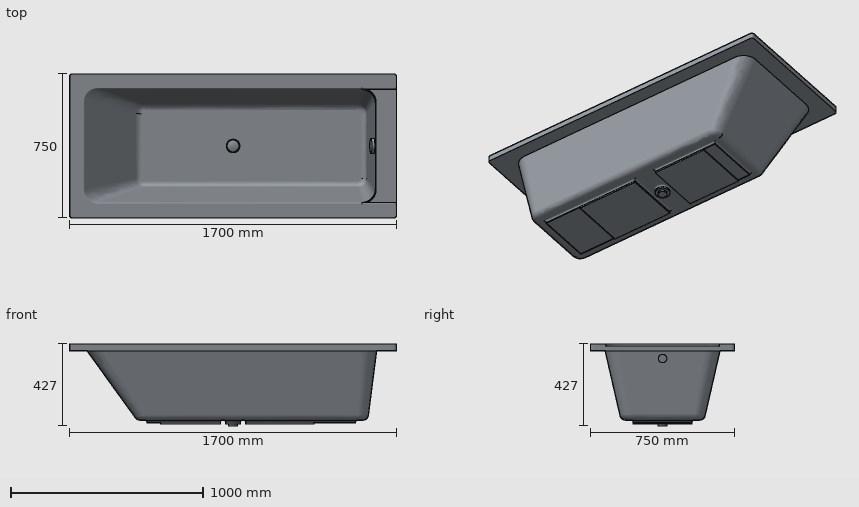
import cadquery as cq
import math

length = 1700.0
width = 750.0
rim_height = 37.0
rim_corner_radius = 15.0
rim_top_fillet = 5.0

head_wall_x = -773.0
foot_wall_x = 741.0
side_wall_y = 297.0
head_slope = 0.722
foot_slope = 0.128
side_slope = 0.23
shell_thickness = 10.0
shell_bottom_z = -397.0
floor_z = shell_bottom_z + shell_thickness
corner_radius_top = 70.0
corner_radius_floor = 40.0
basin_fillet = 28.0
shell_fillet = 32.0
lip_fillet = 5.0

deck_drop = 12.0
deck_lip_depth = 5.0
deck_lip_flare = 4.0
deck_start_x = foot_wall_x - corner_radius_top

pad_height = 10.0
pad_bottom_z = shell_bottom_z - pad_height
pad_root_fillet = 9.0
pad_half_width = 154.0
pad_inner_x = 65.0
head_pad_x = -448.0
foot_pad_x = 637.0
board_thickness = 10.0
board_bottom_z = pad_bottom_z - board_thickness
board_step = 5.0
head_step_x = -376.0
foot_step_x = 420.0

drain_flange_radius = 39.0
drain_pipe_radius = 24.0
drain_bottom_z = -427.0
drain_rim_radius = 35.0
drain_rim_height = 3.0
drain_cap_radius = 31.0
drain_cap_edge = 2.0
drain_cap_dome = 6.0

overflow_z = -75.0
overflow_radius = 40.0
overflow_stem_radius = 22.0
overflow_cap_edge = 15.0
overflow_cap_dome = 7.0

selection_margin = 1.0


def side_half_width(z):
    """Half the distance between the side walls of the cavity at height z."""
    return side_wall_y + side_slope * z


def basin_section(z, gap):
    """Rounded rectangle at height z of the basin whose walls are moved outward, square to them, by gap."""
    depth = -z
    x_min = head_wall_x + head_slope * depth - gap * math.hypot(1, head_slope)
    x_max = foot_wall_x - foot_slope * depth + gap * math.hypot(1, foot_slope)
    half_width = side_half_width(z) + gap * math.hypot(1, side_slope)
    taper = (corner_radius_floor - corner_radius_top) / -floor_z
    radius = corner_radius_top + taper * depth + gap
    return (
        cq.Sketch()
        .push([((x_min + x_max) / 2, 0)])
        .rect(x_max - x_min, 2 * half_width)
        .reset()
        .vertices()
        .fillet(radius)
    )


def tapered_block(lower, lower_z, upper, upper_z):
    """Straight-sided solid between two horizontal sections."""
    return (
        cq.Workplane("XY", origin=(0, 0, lower_z))
        .placeSketch(lower, upper.moved(cq.Location(cq.Vector(0, 0, upper_z - lower_z))))
        .loft(ruled=True)
    )


def basin_block(bottom_z, gap, bottom_fillet):
    """Tapered basin shape from rim level down, with a rounded bottom edge."""
    block = tapered_block(basin_section(bottom_z, gap), bottom_z, basin_section(0, gap), 0)
    return block.faces("<Z").edges().fillet(bottom_fillet)


def make_rim():
    """Solid rim slab with rounded corners and a rounded top edge."""
    return (
        cq.Workplane("XY", origin=(0, 0, -rim_height))
        .rect(length, width)
        .extrude(rim_height)
        .edges("|Z")
        .fillet(rim_corner_radius)
        .faces(">Z")
        .edges()
        .fillet(rim_top_fillet)
    )


def deck_cut():
    """Channel that lowers the deck out to the foot end, its sides in line with the cavity walls and lip."""
    wall_lean = math.atan(side_slope)
    setback = lip_fillet * math.tan((math.pi / 2 - wall_lean) / 2)
    half_channel = (
        cq.Workplane("YZ", origin=(deck_start_x, 0, 0))
        .lineTo(0, -deck_drop)
        .lineTo(side_half_width(-deck_drop), -deck_drop)
        .lineTo(side_wall_y - setback * math.sin(wall_lean), -setback * math.cos(wall_lean))
        .tangentArcPoint((side_wall_y + setback, 0), relative=False)
        .close()
        .extrude(length / 2 - deck_start_x)
    )
    return half_channel.union(half_channel.mirror("XZ"))


def deck_lip_cut():
    """Bevel on the edge between the lowered deck and the cavity."""
    bevel_bottom_z = -deck_drop - deck_lip_depth
    lower = basin_section(bevel_bottom_z, 0)
    upper = basin_section(-deck_drop, deck_lip_flare)
    bevel = tapered_block(lower, bevel_bottom_z, upper, -deck_drop)
    deck = box_between(deck_start_x, length / 2, side_half_width(-deck_drop), -deck_drop, bevel_bottom_z)
    return bevel.intersect(deck)


def box_between(x_a, x_b, half_width, top_z, bottom_z):
    """Box centred on the XZ plane, spanning the given X and Z ranges."""
    return (
        cq.Workplane("XY", origin=((x_a + x_b) / 2, 0, bottom_z))
        .rect(abs(x_b - x_a), 2 * half_width)
        .extrude(top_z - bottom_z)
    )


def disc(radius, bottom_z, top_z):
    """Upright cylinder on the Z axis."""
    return cq.Workplane("XY", origin=(0, 0, bottom_z)).circle(radius).extrude(top_z - bottom_z)


def domed_cap(radius, edge_height, dome_height):
    """Disc on the XY plane with a shallow spherical top."""
    sphere_radius = (radius ** 2 + dome_height ** 2) / (2 * dome_height)
    half_angle = math.asin(radius / sphere_radius) / 2
    sagitta = sphere_radius * (1 - math.cos(half_angle))
    mid_point = (sphere_radius * math.sin(half_angle), edge_height + dome_height - sagitta)
    return (
        cq.Workplane("XZ")
        .lineTo(radius, 0)
        .lineTo(radius, edge_height)
        .threePointArc(mid_point, (0, edge_height + dome_height))
        .close()
        .revolve(360, (0, 0, 0), (0, 1, 0))
    )


def place_on_foot_wall(shape):
    """Turn a shape's +Z away from the foot wall into the basin and move it there."""
    wall_x = foot_wall_x + foot_slope * overflow_z
    tilt = 90 - math.degrees(math.atan(foot_slope))
    return shape.rotate((0, 0, 0), (0, 1, 0), -tilt).translate((wall_x, 0, overflow_z))


def overflow_stem():
    """Stub that fills the wall behind the overflow cap."""
    return place_on_foot_wall(disc(overflow_stem_radius, -shell_thickness, 0))


def basin_wide_box(z):
    """Selector for whatever is centred near height z within the plan of the basin."""
    return cq.selectors.BoxSelector(
        (head_wall_x - selection_margin, -side_wall_y - selection_margin, z - selection_margin),
        (foot_wall_x + selection_margin, side_wall_y + selection_margin, z + selection_margin),
    )


def add_pads(shell):
    """Add the two raised pads and the drain boss, and round their roots into the basin bottom."""
    padded = shell
    for outer_x, inner_x in ((head_pad_x, -pad_inner_x), (foot_pad_x, pad_inner_x)):
        padded = padded.union(box_between(outer_x, inner_x, pad_half_width, shell_bottom_z, pad_bottom_z))
    padded = padded.union(disc(drain_flange_radius, pad_bottom_z, shell_bottom_z))
    basin_bottom = padded.faces(basin_wide_box(shell_bottom_z)).val()
    root_edges = [edge for wire in basin_bottom.innerWires() for edge in wire.Edges()]
    return padded.newObject(root_edges).fillet(pad_root_fillet)


def make_tub():
    shell = make_rim().union(basin_block(shell_bottom_z, shell_thickness, shell_fillet))
    tub = add_pads(shell).cut(basin_block(floor_z, 0, basin_fillet))
    tub = tub.edges(basin_wide_box(0)).fillet(lip_fillet)
    tub = tub.cut(deck_cut()).cut(deck_lip_cut())
    tub = tub.cut(disc(drain_pipe_radius, pad_bottom_z, floor_z))
    return tub.cut(overflow_stem())


def make_support_board(outer_x, step_x, inner_x):
    """Board over a whole pad, thicker between the step and its inner end."""
    step_z = board_bottom_z + board_step
    thin_layer = box_between(outer_x, inner_x, pad_half_width, pad_bottom_z, step_z)
    thick_layer = box_between(step_x, inner_x, pad_half_width, step_z, board_bottom_z)
    return thin_layer.union(thick_layer)


def make_drain():
    """Domed cover on the floor, pipe through it, and a flange under the boss."""
    rim_top_z = floor_z + drain_rim_height
    rim = disc(drain_rim_radius, floor_z, rim_top_z)
    cap = domed_cap(drain_cap_radius, drain_cap_edge, drain_cap_dome).translate((0, 0, rim_top_z))
    pipe = disc(drain_pipe_radius, drain_bottom_z, floor_z)
    flange = disc(drain_flange_radius, board_bottom_z, pad_bottom_z)
    return cap.union(rim).union(pipe).union(flange)


def make_overflow():
    cap = place_on_foot_wall(domed_cap(overflow_radius, overflow_cap_edge, overflow_cap_dome))
    return cap.union(overflow_stem())


tub = make_tub()
support_boards = [
    make_support_board(outer_x, step_x, inner_x)
    for outer_x, step_x, inner_x in (
        (head_pad_x, head_step_x, -pad_inner_x),
        (foot_pad_x, foot_step_x, pad_inner_x),
    )
]
drain = make_drain()
overflow = make_overflow()

result = cq.Compound.makeCompound(
    [tub.val(), *[board.val() for board in support_boards], drain.val(), overflow.val()]
)